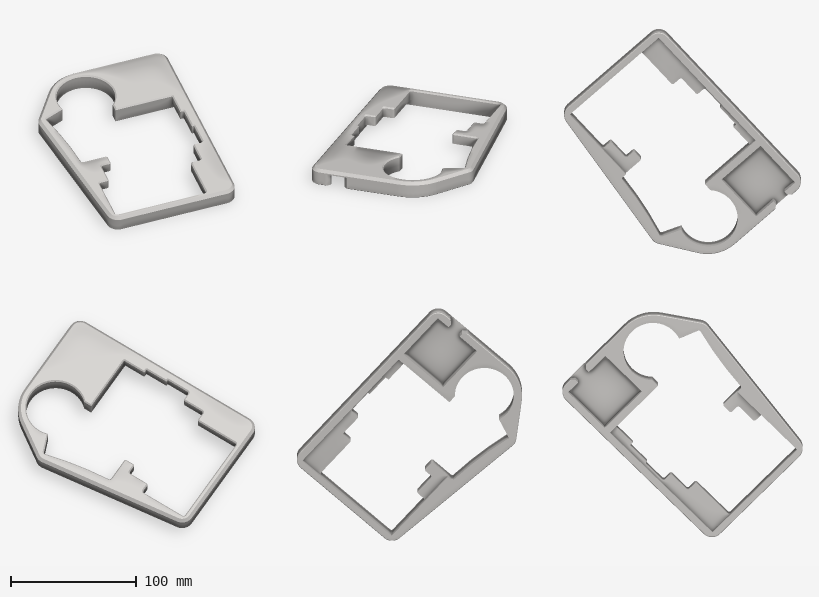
import cadquery as cq
import math

length = 173.4
width = 122.5
height = 13.0
corner_radius = 9.2
big_corner_radius = 32.5
big_corner_y = 46.5
lowest_point_x = 46.0
right_corner_y = 24.1
left_slope = math.radians(34.3)
top_chamfer = 2.3
bottom_chamfer = 0.5

lip_chamfer = 1.0
opening_fillet = 1.5
step_fillet = 0.5
opening_left = 52.9
opening_right = 168.0
opening_bottom = 21.2

rear_steps = [(72.1, 110.1), (91.2, 113.0), (111.5, 114.8), (130.5, 106.6), (opening_right, 97.6)]

tab_left = 101.1
tab_right = 110.3
tab_top = 37.8
tab_shoulder_right = 128.5
tab_shoulder_y = 29.5

bore_x = 30.2
bore_y = 45.3
bore_radius = 23.4
bore_shelf_y = 62.3
spur_tip = (37.6, 22.7)
rim_start = (44.0, 6.6)
rim_middle = (72.8, 12.8)
rim_end = (tab_left, 16.1)

wall = 5.9
recess_depth = 4.3
pocket_depth = 9.7
pocket_bottom = 74.5

entry_y = 99.2
entry_inner_width = 12.0
entry_flare = 3.0


def polar(center, radius, angle):
    """Point on a circle, with the angle in radians."""
    return (center[0] + radius * math.cos(angle), center[1] + radius * math.sin(angle))


def box(x_min, x_max, y_min, y_max, depth):
    """Block standing on the underside plane."""
    return (
        cq.Workplane("XY")
        .moveTo((x_min + x_max) / 2, (y_min + y_max) / 2)
        .rect(x_max - x_min, y_max - y_min)
        .extrude(depth)
    )


def make_body():
    lowest_center = (lowest_point_x, corner_radius)
    right_center = (length - corner_radius, right_corner_y)
    big_center = (big_corner_radius, big_corner_y)
    right_slope = math.atan2(right_center[1] - lowest_center[1], right_center[0] - lowest_center[0])
    down = -math.pi / 2
    right_normal = down + right_slope
    left_normal = down - left_slope
    big_mid_angle = (left_normal - math.pi) / 2
    profile = (
        cq.Workplane("XY")
        .moveTo(0, width)
        .lineTo(length, width)
        .lineTo(length, right_corner_y)
        .threePointArc(
            polar(right_center, corner_radius, right_normal / 2),
            polar(right_center, corner_radius, right_normal),
        )
        .lineTo(*polar(lowest_center, corner_radius, right_normal))
        .threePointArc(
            polar(lowest_center, corner_radius, down),
            polar(lowest_center, corner_radius, left_normal),
        )
        .lineTo(*polar(big_center, big_corner_radius, left_normal))
        .threePointArc(
            polar(big_center, big_corner_radius, big_mid_angle),
            (0, big_corner_y),
        )
        .close()
    )
    body = profile.extrude(height)
    body = body.edges("|Z and >Y").fillet(corner_radius)
    return body.faces(">Z").chamfer(top_chamfer).faces("<Z").chamfer(bottom_chamfer)


def rear_outline():
    """Corner points of the stepped rear side, two per step, from left to right."""
    points = []
    step_left = opening_left
    for step_right, step_y in rear_steps:
        points += [(step_left, step_y), (step_right, step_y)]
        step_left = step_right
    return points


def fillet_corners(solid, corners, radius):
    """Round the vertical edges that stand at the given corner points."""
    for x, y in corners:
        edge = solid.edges(cq.selectors.NearestToPointSelector((x, y, height / 2)))
        solid = edge.fillet(radius)
    return solid


def make_opening():
    rear_points = rear_outline()
    tab_points = [
        (opening_right, opening_bottom),
        (tab_shoulder_right, opening_bottom),
        (tab_shoulder_right, tab_shoulder_y),
        (tab_right, tab_shoulder_y),
        (tab_right, tab_top),
        (tab_left, tab_top),
        rim_end,
    ]
    bore_center = (bore_x, bore_y)
    shelf_start = polar(bore_center, bore_radius, math.asin((bore_shelf_y - bore_y) / bore_radius))
    spur_angle = math.atan2(spur_tip[1] - bore_y, spur_tip[0] - bore_x)
    opening = (
        cq.Workplane("XY")
        .moveTo(*shelf_start)
        .lineTo(opening_left, bore_shelf_y)
    )
    for point in rear_points + tab_points:
        opening = opening.lineTo(*point)
    opening = (
        opening.threePointArc(rim_middle, rim_start)
        .lineTo(*polar(bore_center, bore_radius, spur_angle))
        .threePointArc((bore_x - bore_radius, bore_y), shelf_start)
        .close()
        .extrude(height)
    )

    shallow_corners = rear_points[0:5:2]
    deep_corners = rear_points[5:] + tab_points + [rim_start]
    opening = fillet_corners(opening, shallow_corners, step_fillet)
    return fillet_corners(opening, deep_corners, opening_fillet)


def make_cable_entry():
    half = entry_inner_width / 2
    flared = half + entry_flare
    return (
        cq.Workplane("XY")
        .moveTo(0, entry_y - flared)
        .lineTo(entry_flare, entry_y - half)
        .lineTo(wall, entry_y - half)
        .lineTo(wall, entry_y + half)
        .lineTo(entry_flare, entry_y + half)
        .lineTo(0, entry_y + flared)
        .close()
        .extrude(pocket_depth)
    )


def chamfer_lip(body):
    """Bevel the upper rim of the opening."""
    rim = body.faces(">Z").val().innerWires()[0]
    return body.newObject(rim.Edges()).chamfer(lip_chamfer)


recess = box(opening_left, opening_right, opening_bottom, width - wall, recess_depth)
cable_pocket = box(wall, opening_left - wall, pocket_bottom, width - wall, pocket_depth)

result = chamfer_lip(make_body().cut(make_opening()))
result = result.cut(recess).cut(cable_pocket).cut(make_cable_entry())